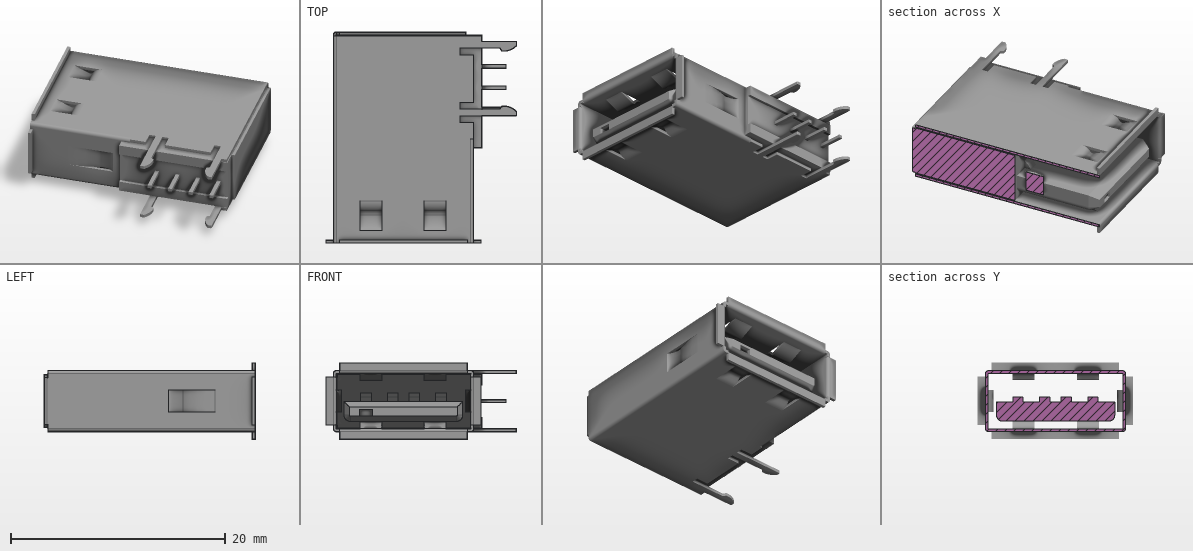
import cadquery as cq


SHEET = 0.3

BEND_RADIUS = 0.28

TOTAL_WIDTH = 17.81
SHELL_WIDTH = 13.1
SHELL_HEIGHT = 5.72
SHELL_LENGTH = 19.35
TOTAL_LENGTH = 19.7
RIGHT_WALL_LENGTH = 9.72
HALF_WIDTH = SHELL_WIDTH / 2
HALF_HEIGHT = SHELL_HEIGHT / 2
INNER_X = HALF_WIDTH - SHEET
INNER_Z = HALF_HEIGHT - SHEET

FLANGE_RISE = 0.7
PLATE_FLANGE_WIDTH = 11.92
WALL_FLANGE_WIDTH = 4.5

BACK_HEIGHT = 4.94
BACK_BEND_HEIGHT = 4.4
BACK_RIGHT_END = 5.82
BACK_FRONT = TOTAL_LENGTH - SHEET

HOUSING_FRONT = 8.89
HOUSING_GAP = 0.05
HOUSING_RIGHT = 7.31
RECESS_HEIGHT = 3.04
RECESS_DEPTH = 0.3

TONGUE_LEFT = -5.55
TONGUE_RIGHT = 5.52
TONGUE_TOP = -0.04
TONGUE_BOTTOM = -1.9
TONGUE_TIP = 0.48
TIP_TAPER_LENGTH = 0.92
TIP_TAPER_INSET = 0.5
TONGUE_BOTTOM_RADIUS = 0.6
TIP_BOTTOM_RADIUS = 0.1
NOTCH_WIDTH = 1.17
NOTCH_TOP = -0.79
NOTCH_BOTTOM = -1.4
NOTCH_DEPTH = 0.9

CONTACT_POSITIONS = (-3.5, -1.0, 1.0, 3.5)
CONTACT_WIDTH = 1.0
CONTACT_TOP = 0.75
CONTACT_KNEE_Z = 0.38
CONTACT_KNEE_Y = 8.52
CONTACT_TIP_Y = 8.22

PIN_POSITIONS = (12.5, 14.5, 16.5, 18.5)
PIN_WIDTH = 0.37
PIN_THICKNESS = 0.3
PIN_END = 9.58

LEG_WIDTH = 0.64
LEG_END = TOTAL_WIDTH - HALF_WIDTH - FLANGE_RISE
FRONT_LEG_Y = 12.19
REAR_LEG_Y = 18.51
SLOT_WIDTH = 0.63
SLOT_START = 5.29
BARB_START = 9.0
BARB_PEAK_START = 9.17
BARB_PEAK_END = 9.55
BARB_HEIGHT = 0.28
BARB_CURVE_MIDDLE = 9.91
BARB_CURVE_HEIGHT = 0.18
TIP_SHOULDER = 10.27
TIP_FLAT = 0.4
TIP_CORNER = 0.06

PLATE_FINGER_POSITIONS = (-3.05, 2.95)
PLATE_FINGER_WIDTH = 2.05
PLATE_FINGER_REAR = 3.92
PLATE_FINGER_FRONT = 1.2
PLATE_SHOULDER_MIDDLE = (3.44, -0.12)
PLATE_SHOULDER_END = (3.05, -0.46)
PLATE_BOWL_MIDDLE = (2.87, -0.61)
PLATE_BOWL_END = (2.64, -0.6)
WALL_FINGER_WIDTH = 2.07
WALL_FINGER_REAR = 8.09
WALL_FINGER_PEAK = 6.75
WALL_FINGER_FRONT = 3.76
WALL_FINGER_DROP = 0.47
WALL_BOWL_MIDDLE = (7.5, -0.36)
WALL_RAMP_MIDDLE = (5.25, -0.12)


def block(x0, x1, y0, y1, z0, z1):
    """Box given by its limits on each axis."""
    return cq.Workplane("XY").box(x1 - x0, y1 - y0, z1 - z0, centered=False).translate((x0, y0, z0))


def turned(solid, angle):
    """Solid turned about the mating axis Y."""
    return solid.rotate((0, 0, 0), (0, 1, 0), angle)


def make_sleeve():
    """Rectangular tube, open at the right behind the right wall."""
    outer = block(-HALF_WIDTH, HALF_WIDTH, 0, SHELL_LENGTH, -HALF_HEIGHT, HALF_HEIGHT)
    outer = outer.edges("|Y").fillet(SHEET)
    sleeve = outer.cut(block(-INNER_X, INNER_X, 0, SHELL_LENGTH, -INNER_Z, INNER_Z))
    return sleeve.cut(
        block(INNER_X, HALF_WIDTH, RIGHT_WALL_LENGTH, SHELL_LENGTH, -HALF_HEIGHT, HALF_HEIGHT)
    )


def make_leg(centre_y, barb_side):
    """Board-lock leg with its barb toward +Y (barb_side 1) or -Y (barb_side -1)."""
    half = LEG_WIDTH / 2
    outline = [
        (SLOT_START, -half),
        (LEG_END - TIP_CORNER, -half),
        (LEG_END, TIP_CORNER - half),
        (LEG_END, TIP_FLAT - half),
        (TIP_SHOULDER, half),
    ]
    return (
        cq.Workplane("XY", origin=(0, centre_y, INNER_Z))
        .polyline([(x, barb_side * y) for x, y in outline])
        .threePointArc(
            (BARB_CURVE_MIDDLE, barb_side * (half + BARB_CURVE_HEIGHT)),
            (BARB_PEAK_END, barb_side * (half + BARB_HEIGHT)),
        )
        .lineTo(BARB_PEAK_START, barb_side * (half + BARB_HEIGHT))
        .lineTo(BARB_START, barb_side * half)
        .lineTo(SLOT_START, barb_side * half)
        .close()
        .extrude(SHEET)
    )


def make_plate_edge():
    """Right edge of the top plate behind the right wall, with both legs."""
    edge = block(INNER_X, HALF_WIDTH, RIGHT_WALL_LENGTH, SHELL_LENGTH, INNER_Z, HALF_HEIGHT)
    rear_tab = block(INNER_X, HOUSING_RIGHT, REAR_LEG_Y, SHELL_LENGTH, INNER_Z, HALF_HEIGHT)
    return edge.union(rear_tab).union(make_leg(FRONT_LEG_Y, 1)).union(make_leg(REAR_LEG_Y, -1))


def make_leg_slots():
    """Relief slots through the top plate beside the legs."""
    half = LEG_WIDTH / 2
    slots = cq.Workplane("XY")
    for start in (FRONT_LEG_Y - half - SLOT_WIDTH, FRONT_LEG_Y + half, REAR_LEG_Y - half - SLOT_WIDTH):
        slots = slots.add(block(SLOT_START, HALF_WIDTH, start, start + SLOT_WIDTH, INNER_Z, HALF_HEIGHT))
    return slots.combine()


def make_back_plate():
    """Plate closing the rear, bent from the left wall."""
    half = BACK_HEIGHT / 2
    bend_half = BACK_BEND_HEIGHT / 2
    bend = block(-HALF_WIDTH, -INNER_X, SHELL_LENGTH, TOTAL_LENGTH, -bend_half, bend_half)
    bend = bend.edges("|Z and <X and >Y").fillet(BEND_RADIUS)
    flare_end = half - bend_half - INNER_X
    plate = (
        cq.Workplane("XZ", origin=(0, BACK_FRONT, 0))
        .polyline([
            (-INNER_X, -bend_half),
            (flare_end, -half),
            (BACK_RIGHT_END, -half),
            (BACK_RIGHT_END, half),
            (flare_end, half),
            (-INNER_X, bend_half),
        ])
        .close()
        .extrude(-SHEET)
    )
    return bend.union(plate)


def make_finger(segments, rear, width, wall_distance):
    """Finger of the top wall, centred on X = 0.

    segments lists (middle, end) points of the outer skin from rear to front, as Y and
    height above the wall's outer face; a straight segment has None for its middle.
    The inner skin lies one sheet further in.
    """
    def draw(sketch, middle, end, height):
        if middle is None:
            return sketch.lineTo(end[0], end[1] + height)
        return sketch.threePointArc((middle[0], middle[1] + height), (end[0], end[1] + height))

    starts = [(rear, 0)] + [end for _, end in segments[:-1]]
    front = segments[-1][1][0]
    sketch = cq.Workplane("YZ", origin=(-width / 2, 0, wall_distance)).moveTo(rear, 0)
    for middle, end in segments:
        sketch = draw(sketch, middle, end, 0)
    sketch = sketch.lineTo(front, -SHEET)
    for (middle, _), start in zip(reversed(segments), reversed(starts)):
        sketch = draw(sketch, middle, start, -SHEET)
    return sketch.close().extrude(width)


def press_finger(shell, finger, rear, front, width, wall_distance, offset, angle):
    """Put a finger in a window of the wall found by turning the top wall by angle."""
    window = block(-width / 2, width / 2, front, rear, wall_distance - SHEET, wall_distance)
    shell = shell.cut(turned(window.translate((offset, 0, 0)), angle))
    return shell.union(turned(finger.translate((offset, 0, 0)), angle))


def press_plate_fingers(shell):
    """Two fingers in the top plate and two in the bottom: shoulder, bowl, straight ramp."""
    segments = [
        (PLATE_SHOULDER_MIDDLE, PLATE_SHOULDER_END),
        (PLATE_BOWL_MIDDLE, PLATE_BOWL_END),
        (None, (PLATE_FINGER_FRONT, 0)),
    ]
    finger = make_finger(segments, PLATE_FINGER_REAR, PLATE_FINGER_WIDTH, HALF_HEIGHT)
    for position in PLATE_FINGER_POSITIONS:
        for offset, angle in ((position, 0), (-position, 180)):
            shell = press_finger(
                shell, finger, PLATE_FINGER_REAR, PLATE_FINGER_FRONT,
                PLATE_FINGER_WIDTH, HALF_HEIGHT, offset, angle,
            )
    return shell


def press_wall_fingers(shell):
    """One finger in each side wall: bowl down to the peak, then a long curve back out."""
    segments = [
        (WALL_BOWL_MIDDLE, (WALL_FINGER_PEAK, -WALL_FINGER_DROP)),
        (WALL_RAMP_MIDDLE, (WALL_FINGER_FRONT, 0)),
    ]
    finger = make_finger(segments, WALL_FINGER_REAR, WALL_FINGER_WIDTH, HALF_WIDTH)
    for angle in (-90, 90):
        shell = press_finger(
            shell, finger, WALL_FINGER_REAR, WALL_FINGER_FRONT,
            WALL_FINGER_WIDTH, HALF_WIDTH, 0, angle,
        )
    return shell


def add_flange(shell, wall_distance, width, angle):
    """Outward flange at the mouth, its bend rounded on the inside of the shell."""
    inner = wall_distance - SHEET
    mouth_strip = block(-width / 2, width / 2, 0, SHEET, inner, wall_distance)
    flange = block(-width / 2, width / 2, 0, SHEET, inner, wall_distance + FLANGE_RISE)
    flange = flange.faces("<Z").edges("<Y").fillet(BEND_RADIUS)
    return shell.cut(turned(mouth_strip, angle)).union(turned(flange, angle))


def make_shell():
    """Sheet-metal shell with legs, back plate, spring fingers and flanges."""
    edge = make_plate_edge()
    slots = make_leg_slots()
    shell = make_sleeve().union(edge).union(edge.mirror("XY"))
    shell = shell.cut(slots).cut(slots.mirror("XY")).union(make_back_plate())
    shell = press_wall_fingers(press_plate_fingers(shell))
    for angle in (0, 180):
        shell = add_flange(shell, HALF_HEIGHT, PLATE_FLANGE_WIDTH, angle)
    for angle in (-90, 90):
        shell = add_flange(shell, HALF_WIDTH, WALL_FLANGE_WIDTH, angle)
    return shell


def make_housing():
    """Insulating block filling the rear of the shell, recessed where the pins leave it."""
    left = HOUSING_GAP - INNER_X
    half_height = INNER_Z - HOUSING_GAP
    housing = block(left, HOUSING_RIGHT, HOUSING_FRONT, BACK_FRONT, -half_height, half_height)
    recess_half = RECESS_HEIGHT / 2
    return housing.cut(
        block(
            HOUSING_RIGHT - RECESS_DEPTH, HOUSING_RIGHT,
            HOUSING_FRONT, BACK_FRONT, -recess_half, recess_half,
        )
    )


def make_tongue():
    """Contact carrier with a tapered tip and a notch in the tip face."""
    taper_start = TONGUE_TIP + TIP_TAPER_LENGTH
    width = TONGUE_RIGHT - TONGUE_LEFT
    height = TONGUE_TOP - TONGUE_BOTTOM
    centre = ((TONGUE_LEFT + TONGUE_RIGHT) / 2, 0, (TONGUE_TOP + TONGUE_BOTTOM) / 2)

    def section(y, inset, radius):
        """Outline wire at depth y, shrunk by inset, with rounded bottom corners."""
        half_x = width / 2 - inset
        half_z = height / 2 - inset
        slab = cq.Workplane("XZ").rect(2 * half_x, 2 * half_z).extrude(-1)
        slab = slab.edges("|Y and <Z").fillet(radius)
        return slab.faces("<Y").wires().val().translate(cq.Vector(centre) + cq.Vector(0, y, 0))

    base = section(taper_start, 0, TONGUE_BOTTOM_RADIUS)
    tip = section(TONGUE_TIP, TIP_TAPER_INSET, TIP_BOTTOM_RADIUS)
    taper = cq.Workplane(cq.Solid.makeLoft([tip, base], True))
    body = cq.Workplane(
        cq.Solid.extrudeLinear(base, [], cq.Vector(0, HOUSING_FRONT - taper_start, 0))
    )
    notch = block(
        CONTACT_POSITIONS[0] - NOTCH_WIDTH / 2, CONTACT_POSITIONS[0] + NOTCH_WIDTH / 2,
        TONGUE_TIP, TONGUE_TIP + NOTCH_DEPTH, NOTCH_BOTTOM, NOTCH_TOP,
    )
    return body.union(taper).cut(notch)


def make_contacts():
    """Sloping contact blades standing on the tongue."""
    blade = (
        cq.Workplane("YZ", origin=(-CONTACT_WIDTH / 2, 0, 0))
        .polyline([
            (HOUSING_FRONT, TONGUE_TOP),
            (HOUSING_FRONT, CONTACT_TOP),
            (CONTACT_KNEE_Y, CONTACT_KNEE_Z),
            (CONTACT_TIP_Y, TONGUE_TOP),
        ])
        .close()
        .extrude(CONTACT_WIDTH)
    )
    contacts = cq.Workplane("XY")
    for position in CONTACT_POSITIONS:
        contacts = contacts.add(blade.translate((position, 0, 0)))
    return contacts.combine()


def make_pins():
    """Straight solder pins leaving the right side of the housing."""
    pins = cq.Workplane("XY")
    for position in PIN_POSITIONS:
        pins = pins.add(
            block(
                INNER_X, PIN_END, position - PIN_WIDTH / 2, position + PIN_WIDTH / 2,
                -PIN_THICKNESS / 2, PIN_THICKNESS / 2,
            )
        )
    return pins.combine()


result = make_housing()
for component in (make_tongue(), make_contacts(), make_pins(), make_shell()):
    result = result.union(component)